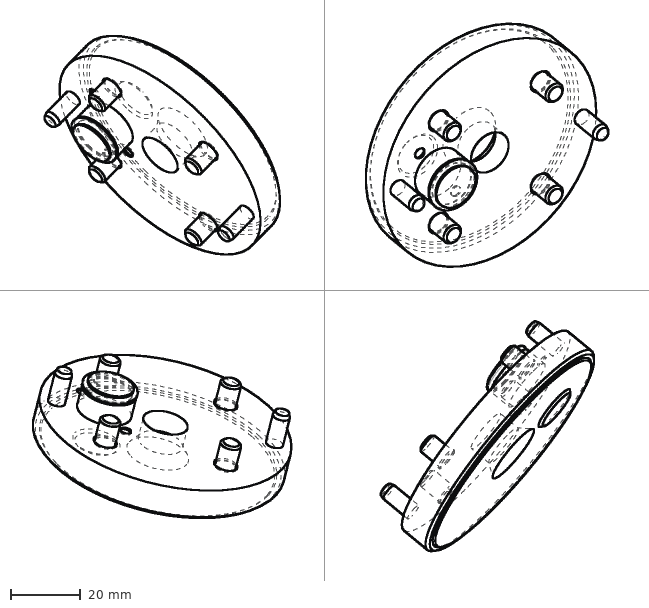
import cadquery as cq
import math


plate_radius = 37.0
rim_height = 8.95
rim_chamfer = 0.9
ledge_height = rim_height + rim_chamfer
raised_face_radius = 34.85
plate_thickness = 10.35
raised_face_height = plate_thickness - ledge_height

center_hole_radius = 6.5
countersink_depth = 3.7
countersink_flare = 2.6

bolt_circle_radius = 25.0
screw_count = 4
screw_radius = 3.0
screw_length = 7.5
screw_chamfer = 0.7
clearance_radius = 3.4
recess_depth = 0.5

pin_offset = 32.0
pin_radius = 2.5
pin_shaft_length = 9.25
pin_taper_length = 1.3
pin_tip_radius = 2.1
pin_length = 11.0

plug_x = -18.0
plug_radius = 8.0
plug_length = 6.7
stem_radius = 6.7
stem_length = 9.1
ring_outer_radius = 8.15
ring_wire_radius = 0.9
ring_position = 7.8
button_radius = 6.95
button_top_radius = 6.15
button_shoulder = 0.8
button_height = 0.95

blind_hole_radius = 1.6
blind_hole_spread_x = 6.3
blind_hole_spread_z = 9.0


def cylinder(radius, start_y, end_y, x=0.0, z=0.0):
    """Cylinder along Y between two Y positions."""
    base = cq.Workplane("XZ", origin=(x, start_y, z))
    return base.circle(radius).extrude(start_y - end_y)


def revolve_about_y(profile):
    """Turn a closed profile of (radius, Y) points about the Y axis."""
    return profile.close().revolve(360, (0, 0, 0), (0, 1, 0))


def make_countersink():
    countersink_start = plate_thickness - countersink_depth
    return revolve_about_y(
        cq.Workplane("XY")
        .moveTo(0, countersink_start)
        .lineTo(center_hole_radius, countersink_start)
        .lineTo(center_hole_radius + countersink_flare, plate_thickness)
        .lineTo(0, plate_thickness)
    )


def make_plate():
    plate = revolve_about_y(
        cq.Workplane("XY")
        .lineTo(plate_radius, 0)
        .lineTo(plate_radius, rim_height)
        .lineTo(plate_radius - rim_chamfer, ledge_height)
        .lineTo(raised_face_radius, ledge_height)
        .lineTo(raised_face_radius - raised_face_height, plate_thickness)
        .lineTo(0, plate_thickness)
    )
    plate = plate.cut(cylinder(center_hole_radius, 0, plate_thickness))
    return plate.cut(make_countersink())


def make_screw():
    return cylinder(screw_radius, recess_depth, -screw_length).faces("<Y").chamfer(screw_chamfer)


def make_locating_pin():
    taper_end = pin_shaft_length + pin_taper_length
    dome_height = pin_length - taper_end
    dome_radius = (pin_tip_radius**2 + dome_height**2) / (2 * dome_height)
    return revolve_about_y(
        cq.Workplane("XY")
        .lineTo(pin_radius, 0)
        .lineTo(pin_radius, -pin_shaft_length)
        .lineTo(pin_tip_radius, -taper_end)
        .radiusArc((0, -pin_length), dome_radius)
    )


def make_plug():
    plug = cylinder(plug_radius, 0, -plug_length)
    stem = cylinder(stem_radius, 0, -stem_length)
    ring_mean_radius = ring_outer_radius - ring_wire_radius
    ring_center = cq.Vector(0, -ring_position, 0)
    ring_axis = cq.Vector(0, 1, 0)
    ring = cq.Workplane(cq.Solid.makeTorus(ring_mean_radius, ring_wire_radius, ring_center, ring_axis))
    return plug.union(stem).union(ring)


def make_button():
    shoulder_y = plate_thickness + button_shoulder
    dome_rise = button_height - button_shoulder
    dome_radius = (button_top_radius**2 + dome_rise**2) / (2 * dome_rise)
    return revolve_about_y(
        cq.Workplane("XY")
        .moveTo(0, ledge_height)
        .lineTo(button_radius, ledge_height)
        .lineTo(button_radius, plate_thickness)
        .lineTo(button_top_radius, shoulder_y)
        .radiusArc((0, plate_thickness + button_height), -dome_radius)
    )


result = make_plate()

for index in range(screw_count):
    angle = 2 * math.pi * (index + 0.5) / screw_count
    x = bolt_circle_radius * math.cos(angle)
    z = bolt_circle_radius * math.sin(angle)
    result = result.cut(cylinder(clearance_radius, 0, recess_depth, x, z))
    result = result.union(make_screw().translate((x, 0, z)))

for side in (-1, 1):
    hole_x = plug_x + side * blind_hole_spread_x
    hole_z = -side * blind_hole_spread_z
    result = result.cut(cylinder(blind_hole_radius, 0, recess_depth, hole_x, hole_z))
    result = result.union(make_locating_pin().translate((side * pin_offset, 0, 0)))

result = result.union(make_plug().translate((plug_x, 0, 0)))
result = result.union(make_button().translate((plug_x, 0, 0)))